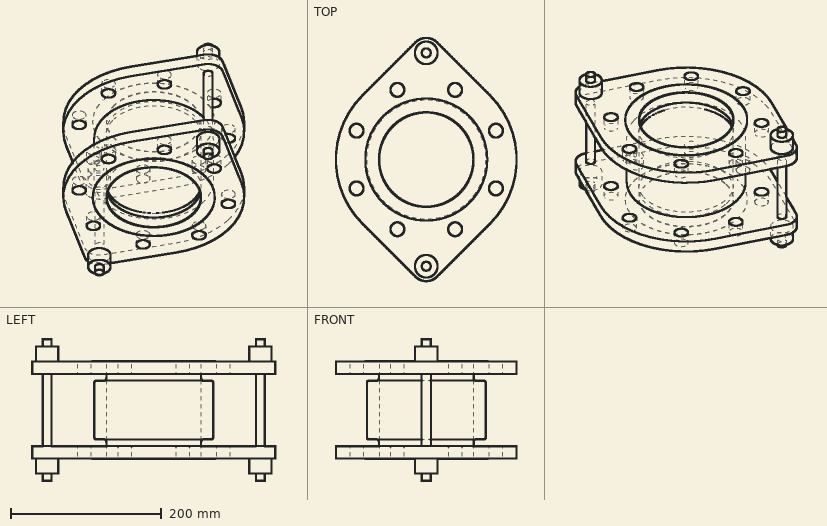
import cadquery as cq
import math

flange_radius = 120.0
lug_radius = 20.0
flange_thickness = 16.6
flange_outer_z = 64.4
flange_inner_z = flange_outer_z - flange_thickness

flank_angle = math.radians(45)
lug_y = (flange_radius - lug_radius) / math.cos(flank_angle)

bolt_circle_radius = 100.0
bolt_hole_diameter = 18.0
bolt_hole_count = 8
bolt_spacing = 360.0 / bolt_hole_count

seal_radius = 81.0
seal_bore_radius = 62.9
seal_height = 0.5

body_radius = 79.0
body_half_height = 39.0
neck_radius = 63.0
bore_radius = 62.4
body_fillet = 3.0

rod_diameter = 12.0
rod_length = 188.0
sleeve_diameter = 30.0
sleeve_height = 20.0


def flange_outline(plane):
    """Closed outline of a flange, tangent arcs joined by straight flanks."""
    disc_x = flange_radius * math.sin(flank_angle)
    disc_y = flange_radius * math.cos(flank_angle)
    flank_x = lug_radius * math.sin(flank_angle)
    flank_y = lug_y + lug_radius * math.cos(flank_angle)
    return (
        plane.moveTo(disc_x, -disc_y)
        .threePointArc((flange_radius, 0), (disc_x, disc_y))
        .lineTo(flank_x, flank_y)
        .threePointArc((0, lug_y + lug_radius), (-flank_x, flank_y))
        .lineTo(-disc_x, disc_y)
        .threePointArc((-flange_radius, 0), (-disc_x, -disc_y))
        .lineTo(-flank_x, -flank_y)
        .threePointArc((0, -lug_y - lug_radius), (flank_x, -flank_y))
        .close()
    )


def make_upper_flange():
    """Upper flange with its bolt holes and raised sealing face."""
    base = cq.Workplane("XY").workplane(offset=flange_inner_z)
    plate = flange_outline(base).extrude(flange_thickness)
    holes = (
        cq.Workplane("XY")
        .workplane(offset=flange_inner_z)
        .polarArray(bolt_circle_radius, bolt_spacing / 2, 360, bolt_hole_count)
        .circle(bolt_hole_diameter / 2)
        .extrude(flange_thickness)
    )
    seal = (
        cq.Workplane("XY")
        .workplane(offset=flange_inner_z)
        .circle(seal_radius)
        .extrude(flange_thickness + seal_height)
    )
    seal_bore = (
        cq.Workplane("XY")
        .workplane(offset=flange_outer_z)
        .circle(seal_bore_radius)
        .extrude(seal_height)
    )
    return plate.cut(holes).union(seal).cut(seal_bore)


def make_body():
    """Solid body on its neck, rounded at the rims and where it meets the neck."""
    neck = cq.Workplane("XY").circle(neck_radius).extrude(flange_inner_z, both=True)
    barrel = cq.Workplane("XY").circle(body_radius).extrude(body_half_height, both=True)
    reach = body_half_height + body_fillet
    barrel_zone = cq.selectors.BoxSelector(
        (-flange_radius, -flange_radius, -reach),
        (flange_radius, flange_radius, reach),
        boundingbox=True,
    )
    return neck.union(barrel).edges("%CIRCLE").edges(barrel_zone).fillet(body_fillet)


def make_tie_rod(y):
    """Tie rod at the given Y with a sleeve against each flange."""
    rod = cq.Workplane("XY").center(0, y).circle(rod_diameter / 2).extrude(rod_length / 2, both=True)
    sleeve = (
        cq.Workplane("XY")
        .workplane(offset=flange_outer_z)
        .center(0, y)
        .circle(sleeve_diameter / 2)
        .extrude(sleeve_height)
    )
    return rod.union(sleeve).union(sleeve.mirror("XY"))


upper_flange = make_upper_flange()
bore = cq.Workplane("XY").circle(bore_radius).extrude(rod_length / 2, both=True)

result = make_body().union(upper_flange).union(upper_flange.mirror("XY")).cut(bore)
for rod_y in (-lug_y, lug_y):
    result = result.union(make_tie_rod(rod_y))